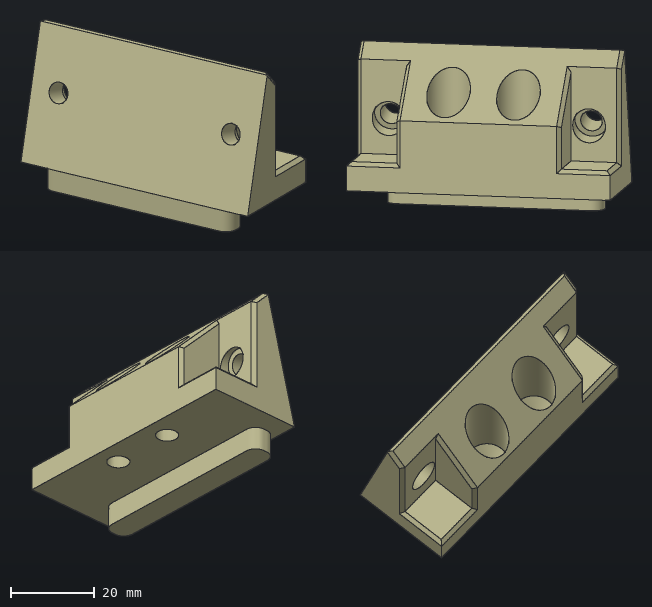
import cadquery as cq
import math

length = 64.2
depth = 25.75
back_height = 17.45
front_lean = math.radians(14.5)
chamfer = 0.95

pocket_floor = 7.0
pocket_front = 13.35
pocket_width = 12.1

tongue_length = 52.8
tongue_width = 6.75
tongue_height = 6.0
tongue_radius = 2.9
tongue_front = 0.9

screw_spacing = 17.0
screw_y = 19.6
screw_diameter = 5.5
head_diameter = 10.4
head_seat = pocket_floor

front_hole_spacing = 48.8
front_hole_diameter = 5.2
front_hole_height = 17.9
counterbore_diameter = 7.95
counterbore_seat = 6.15

half_length = length / 2
pocket_wall = half_length - pocket_width
slope_sum = depth + back_height
apex_height = slope_sum / (1 + math.tan(front_lean))
apex_y = slope_sum - apex_height
counterbore_length = pocket_front - counterbore_seat


def wedge():
    profile = [(0, 0), (depth, 0), (depth, back_height), (apex_y, apex_height)]
    return cq.Workplane("YZ").polyline(profile).close().extrude(half_length, both=True)


def corner_pocket(side):
    return cq.Workplane("XY").box(
        pocket_width, depth - pocket_front, apex_height, centered=(True, False, False)
    ).translate((side * (half_length - pocket_width / 2), pocket_front, pocket_floor))


def is_chamfered(edge):
    """Apex edge, end edges above the floor, and the pocket rims on the back face and slope."""
    tolerance = 6.42e-05
    middle = edge.Center()
    on_end = abs(abs(middle.x) - half_length) < tolerance
    on_back = abs(middle.y - depth) < tolerance
    on_slope = abs(middle.y + middle.z - slope_sum) < tolerance
    on_wall = abs(abs(middle.x) - pocket_wall) < tolerance
    on_pocket_front = abs(middle.y - pocket_front) < tolerance
    on_floor = abs(middle.z - pocket_floor) < tolerance
    is_apex = abs(middle.z - apex_height) < tolerance
    end_edge = on_end and (on_slope or on_pocket_front or on_floor)
    rim_edge = (on_back and (on_floor or on_wall)) or (on_slope and on_wall)
    return is_apex or end_edge or rim_edge


def tongue():
    return (
        cq.Workplane("XY")
        .box(tongue_length, tongue_width, tongue_height, centered=(True, False, False))
        .edges("|Z")
        .fillet(tongue_radius)
        .translate((0, tongue_front, -tongue_height))
    )


def screw_hole(x):
    """Through hole, 90 degree countersink and head clearance, revolved about a vertical axis."""
    hole_radius = screw_diameter / 2
    head_radius = head_diameter / 2
    cone_bottom = head_seat - (head_radius - hole_radius)
    profile = [
        (0, 0),
        (hole_radius, 0),
        (hole_radius, cone_bottom),
        (head_radius, head_seat),
        (head_radius, apex_height),
        (0, apex_height),
    ]
    cutter = cq.Workplane("XZ").polyline(profile).close().revolve(360, (0, 0, 0), (0, 1, 0))
    return cutter.translate((x, screw_y, 0))


def front_hole(x):
    inward = cq.Vector(0, math.cos(front_lean), -math.sin(front_lean))
    entry = cq.Vector(x, front_hole_height * math.tan(front_lean), front_hole_height)
    seat_centre = entry + inward * counterbore_seat
    bore = cq.Solid.makeCylinder(front_hole_diameter / 2, counterbore_seat, entry, inward)
    counterbore = cq.Solid.makeCylinder(
        counterbore_diameter / 2, counterbore_length, seat_centre, inward
    )
    return cq.Workplane(bore).union(cq.Workplane(counterbore))


body = wedge()
for side in (-1, 1):
    body = body.cut(corner_pocket(side))

rims = [edge for edge in body.edges().vals() if is_chamfered(edge)]
body = body.newObject(rims).chamfer(chamfer)
body = body.union(tongue())

for side in (-1, 1):
    body = body.cut(screw_hole(side * screw_spacing / 2))
    body = body.cut(front_hole(side * front_hole_spacing / 2))

result = body